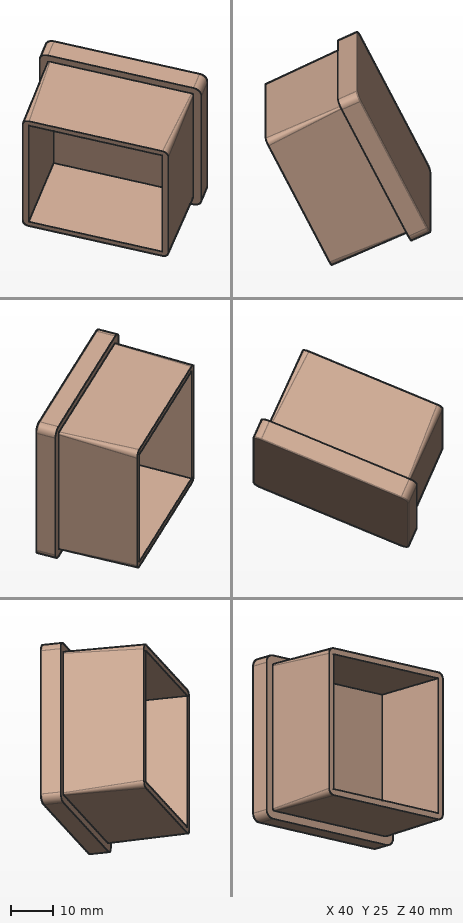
import cadquery as cq

flange_side = 40.0
flange_thickness = 5.0
flange_corner_radius = 2.0
flange_back_fillet = 0.25

plug_step = 2.0
plug_side = flange_side - 2 * plug_step
plug_length = 20.0

cavity_side = 33.0
wall_thickness = (plug_side - cavity_side) / 2

root_corner_radius = 0.5
tip_corner_radius = wall_thickness


def rounded_square(side, corner_radius):
    """Sketch of a centred square with rounded corners."""
    return cq.Sketch().rect(side, side).vertices().fillet(corner_radius)


def make_flange():
    """Plate with rounded corners and a small fillet around its back face."""
    outline = rounded_square(flange_side, flange_corner_radius)
    plate = cq.Workplane("XZ").placeSketch(outline).extrude(-flange_thickness)
    return plate.faces(">Y").edges().fillet(flange_back_fillet)


def make_plug():
    """Straight-sided square block whose corner radius grows toward the tip."""
    root_outline = rounded_square(plug_side, root_corner_radius)
    tip_outline = rounded_square(plug_side, tip_corner_radius)
    tip_location = cq.Location(cq.Vector(0, 0, plug_length))
    return cq.Workplane("XZ").placeSketch(root_outline, tip_outline.moved(tip_location)).loft(ruled=True)


def make_cavity():
    """Sharp-cornered square pocket running the length of the plug."""
    return cq.Workplane("XZ").rect(cavity_side, cavity_side).extrude(plug_length)


result = make_flange().union(make_plug()).cut(make_cavity())